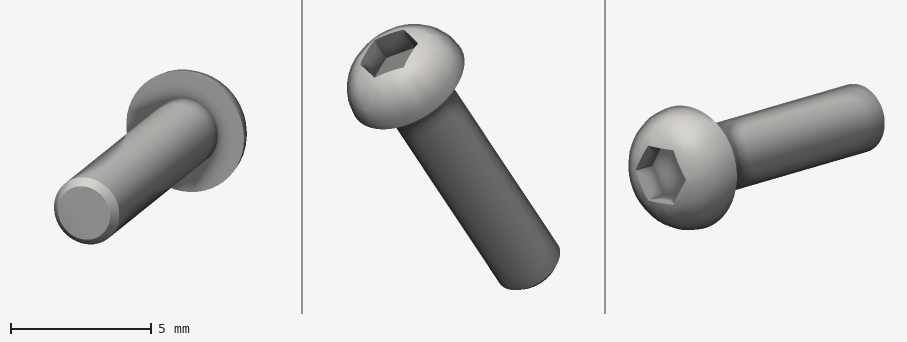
import cadquery as cq
import math

total_length = 11.58
shank_length = 10.0
shank_diameter = 2.5
tip_chamfer = 0.25
head_diameter = 4.5
socket_across_flats = 2.0
socket_depth = 1.0

head_radius = head_diameter / 2
head_height = total_length - shank_length
socket_apothem = socket_across_flats / 2
socket_corner_diameter = socket_across_flats / math.cos(math.pi / 6)

dome_span = head_radius - socket_apothem
dome_radius = (dome_span**2 + head_height**2) / (2 * dome_span)
arc_center_radius = head_radius - dome_radius
mid_angle = math.pi / 4
mid_point = (
    arc_center_radius + dome_radius * math.cos(mid_angle),
    dome_radius * math.sin(mid_angle),
)


def along_y(start):
    """Workplane at the given Y, facing +Y, with its local x along X."""
    return cq.Workplane("XZ", origin=(0, start, 0)).transformed(rotate=(180, 0, 0))


def make_shank():
    shank = along_y(0).circle(shank_diameter / 2).extrude(shank_length)
    return shank.faces("<Y").chamfer(tip_chamfer)


def make_head():
    head = (
        cq.Workplane("XY")
        .lineTo(head_radius, 0)
        .threePointArc(mid_point, (arc_center_radius, dome_radius))
        .lineTo(0, dome_radius)
        .close()
        .revolve(360, (0, 0), (0, 1))
    )
    return head.translate((0, shank_length, 0))


def make_socket():
    """Hexagonal key socket with two corners on the X direction, open through the dome."""
    socket_floor = total_length - socket_depth
    cut_height = shank_length + dome_radius - socket_floor
    return along_y(socket_floor).polygon(6, socket_corner_diameter).extrude(cut_height)


result = make_shank().union(make_head()).cut(make_socket())